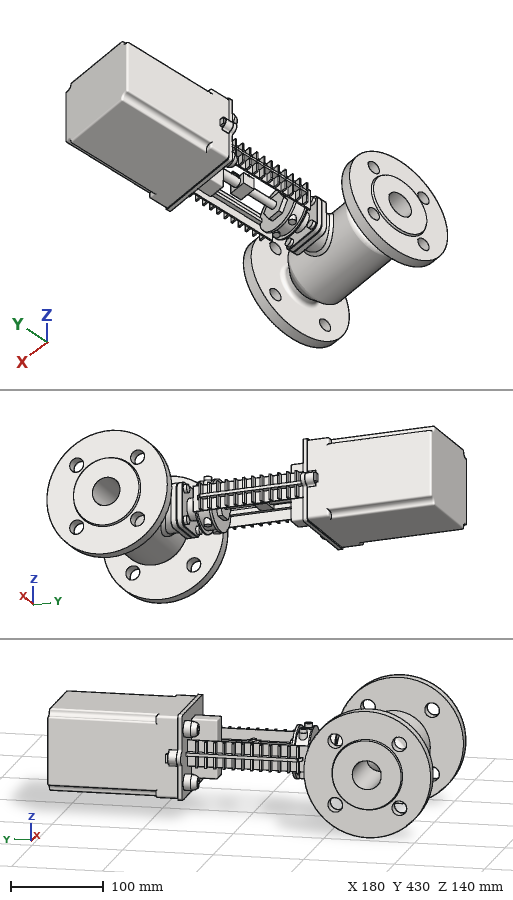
import cadquery as cq
import math


overall_length = 180
flange_diameter = 140
flange_thickness = 13
raised_face_diameter = 78
raised_face_height = 2.5
raised_face_taper = 1
neck_diameter = 48
neck_fillet = 5
shell_diameter = 79
shell_length = 99
cone_length = 14.7
shell_edge_fillet = 5.5
bore_diameter = 32
plug_diameter = 34
flange_hole_diameter = 16
flange_hole_circle = 100
flange_hole_count = 4
first_flange_hole_angle = 45

boss_diameter = 46
boss_weld = 3
cover_flange_side = 51
cover_flange_corner = 8
cover_flange_chamfer = 0.6
valve_flange_bottom = 48.8
flange_joint = 55.9
bonnet_flange_top = 62.4

bolt_offset = 18
bolt_shank_diameter = 5.7
bolt_head_diameter = 9.5
bolt_head_height = 3.8

bonnet_tube_diameter = 25
bonnet_nut_corners = 33
bonnet_nut_thickness = 5.4
stem_diameter = 9.5
spindle_diameter = 11.4

yoke_bottom = 77.5
yoke_ring_top = 96.8
yoke_ring_diameter = 58.6
yoke_waist_diameter = 50
yoke_top_rim = 2.8
yoke_bottom_rim = 1.5
leg_outer_x = 32
leg_web_thickness = 1.6
leg_width = 29
leg_inner_rib_depth = 5
leg_inner_rib_thickness = 5
leg_outer_rib_x = 39.5
leg_outer_rib_thickness = 3.5
leg_outer_rib_bottom = 83.5
leg_rib_chamfer = 5
fin_x = 38.8
fin_thickness = 2
fin_count = 12
fin_pitch = 10.15
first_fin_y = 88
clamp_screw_x = 13.2
clamp_screw_diameter = 8.5
clamp_boss_diameter = 9.5
clamp_boss_top = 25
clamp_screw_bottom = -25.5
clamp_screw_y = (yoke_bottom + yoke_ring_top) / 2
clamp_socket_diameter = 4
clamp_socket_depth = 3

coupling_width = 21.5
coupling_bottom = 139.4
coupling_top = 154.3
coupling_depth = 16
tongue_width = 9
tongue_length = 10
pointer_width = 4
pointer_length = 2.8
pointer_height = 1.5
coupling_screw_x = 6.9
coupling_screw_y = 146.5
coupling_screw_diameter = 6
coupling_screw_height = 2

actuator_x = -5.75
actuator_top = 360
base_bottom = 211
base_thickness = 4.8
base_corner_fillet = 3
base_width = 104
base_depth = 94.5
edge_tolerance = 0.1
case_width = 103
case_depth = 91
case_edge_fillet = 3
case_top_fillet = 2.2
groove_bottom = 240.5
groove_width = 8.4
groove_depth = 7.4
groove_radius = 5.2
groove_lip_fillet = 2
ear_radius = 7.5
ear_step = 0.7
ear_flare = 2.5
ear_root_depth = 3
ear_top = 225.6
ear_cap_width = 9.5
ear_cap_height = 2.5
ear_cap_inset = 1.8
guide_width = 21.5
guide_depth = 65.5
guide_length = 28.6
guide_fillet = 1.7
gland_x = -43.5
gland_z = 29.5
gland_diameter = 18
gland_tip_diameter = 11.4
gland_straight = 8
gland_step = 1.5
gland_step_inset = 0.7
gland_dome_radius = 7
gland_length = 14.6
gland_hole_diameter = 6
gland_hole_depth = 8


def cylinder_y(diameter, y_start, y_end, x=0, z=0):
    """Solid cylinder along Y between two heights."""
    plane = cq.Workplane("XZ", origin=(x, y_start, z))
    return plane.circle(diameter / 2).extrude(y_start - y_end)


def cylinder_z(diameter, z_start, z_end, x, y):
    """Solid cylinder along Z between two heights."""
    plane = cq.Workplane("XY", origin=(x, y, z_start))
    return plane.circle(diameter / 2).extrude(z_end - z_start)


def block(x_range, y_range, z_range):
    """Box given by its limits along X, Y and Z."""
    sizes = [limits[1] - limits[0] for limits in (x_range, y_range, z_range)]
    corner = (x_range[0], y_range[0], z_range[0])
    return cq.Workplane("XY", origin=corner).box(*sizes, centered=False)


def cover_flange(y_start, y_end):
    """Square plate with rounded corners that carries the bonnet bolts."""
    half_side = cover_flange_side / 2
    limits = (-half_side, half_side)
    plate = block(limits, (y_start, y_end), limits)
    plate = plate.edges("|Y").fillet(cover_flange_corner)
    return plate.faces("<Y or >Y").chamfer(cover_flange_chamfer)


def bolt_places():
    """X and Z of the four bonnet bolts."""
    return [(x * bolt_offset, z * bolt_offset) for x in (-1, 1) for z in (-1, 1)]


def drill_for_bolts(body):
    """Cut the four bolt holes through a bonnet joint flange."""
    for x, z in bolt_places():
        body = body.cut(cylinder_y(bolt_shank_diameter, valve_flange_bottom, bonnet_flange_top, x, z))
    return body


def make_valve_body():
    """Flanged pipe body with a top boss; a crosswise plug closes the bore."""
    half_length = overall_length / 2
    flange_outer = half_length - raised_face_height
    flange_inner = flange_outer - flange_thickness
    shell_end = shell_length / 2
    cone_end = shell_end + cone_length

    profile = cq.Workplane("XY").moveTo(-half_length, 0)
    profile = profile.lineTo(-half_length, raised_face_diameter / 2 - raised_face_taper)
    profile = profile.lineTo(-flange_outer, raised_face_diameter / 2)
    profile = profile.lineTo(-flange_outer, flange_diameter / 2)
    profile = profile.lineTo(-flange_inner, flange_diameter / 2)
    profile = profile.lineTo(-flange_inner, neck_diameter / 2 + neck_fillet)
    profile = profile.radiusArc((neck_fillet - flange_inner, neck_diameter / 2), -neck_fillet)
    profile = profile.lineTo(-cone_end, neck_diameter / 2)
    profile = profile.lineTo(-shell_end, shell_diameter / 2)
    profile = profile.lineTo(0, shell_diameter / 2).lineTo(0, 0).close()
    half_body = profile.revolve(360, (0, 0, 0), (1, 0, 0))
    half_body = half_body.edges(cq.selectors.NearestToPointSelector((-shell_end, 0, 0)))
    half_body = half_body.fillet(shell_edge_fillet)
    body = half_body.union(half_body.mirror("YZ"))

    boss = cylinder_y(boss_diameter, 0, valve_flange_bottom)
    body = body.union(boss)
    saddle = cq.selectors.BoxSelector(
        (-boss_diameter / 2 - 1, 1, -boss_diameter / 2 - 1),
        (boss_diameter / 2 + 1, shell_diameter / 2 + 1, boss_diameter / 2 + 1),
    )
    body = body.edges(saddle).chamfer(boss_weld)
    body = drill_for_bolts(body.union(cover_flange(valve_flange_bottom, flange_joint)))

    bore = cq.Workplane("YZ", origin=(-half_length, 0, 0)).circle(bore_diameter / 2).extrude(overall_length)
    plug = cylinder_y(plug_diameter, -bore_diameter, bore_diameter)
    flange_holes = (
        cq.Workplane("YZ", origin=(-half_length, 0, 0))
        .polarArray(flange_hole_circle / 2, first_flange_hole_angle, 360, flange_hole_count)
        .circle(flange_hole_diameter / 2)
        .extrude(overall_length)
    )
    return body.cut(bore.cut(plug)).cut(flange_holes)


def make_bonnet():
    """Bolted flange with a tube through the yoke and a hexagon nut on top."""
    nut_top = yoke_ring_top + bonnet_nut_thickness
    body = cover_flange(flange_joint, bonnet_flange_top)
    body = body.union(cylinder_y(bonnet_tube_diameter, flange_joint, nut_top))
    nut = cq.Workplane("XZ", origin=(0, yoke_ring_top, 0)).polygon(6, bonnet_nut_corners)
    nut = nut.extrude(-bonnet_nut_thickness)
    body = drill_for_bolts(body.union(nut))
    return body.cut(cylinder_y(stem_diameter, flange_joint, nut_top))


def make_bolt(x, z):
    """Bonnet bolt with a round head on the bonnet flange."""
    shank = cylinder_y(bolt_shank_diameter, valve_flange_bottom, bonnet_flange_top, x, z)
    head = cylinder_y(bolt_head_diameter, bonnet_flange_top, bonnet_flange_top + bolt_head_height, x, z)
    return shank.union(head)


def make_stem():
    """Plain rod from the bonnet into the coupling."""
    return cylinder_y(stem_diameter, flange_joint, coupling_screw_y)


def make_coupling():
    """Block on the stem end, with a tongue that lies over the spindle."""
    half_depth = coupling_depth / 2
    body = block(
        (-coupling_width / 2, coupling_width / 2),
        (coupling_bottom, coupling_top),
        (-half_depth, half_depth),
    )
    tongue = block(
        (-tongue_width / 2, tongue_width / 2),
        (coupling_top, coupling_top + tongue_length),
        (spindle_diameter / 2, half_depth),
    )
    pointer_y = coupling_top + tongue_length / 2
    pointer = block(
        (-pointer_width / 2, pointer_width / 2),
        (pointer_y - pointer_length / 2, pointer_y + pointer_length / 2),
        (half_depth, half_depth + pointer_height),
    )
    body = body.union(tongue).union(pointer)
    for side in (-1, 1):
        head = cylinder_z(
            coupling_screw_diameter,
            half_depth,
            half_depth + coupling_screw_height,
            side * coupling_screw_x,
            coupling_screw_y,
        )
        body = body.union(head)
    return body.cut(make_stem())


def make_yoke_leg():
    """Leg on the +X side: a web with a rib inside and a finned rib outside."""
    half_width = leg_width / 2
    web_inner_x = leg_outer_x - leg_web_thickness
    leg = block((web_inner_x, leg_outer_x), (yoke_bottom, base_bottom), (-half_width, half_width))
    inner_rib = block(
        (web_inner_x - leg_inner_rib_depth, web_inner_x),
        (yoke_bottom, base_bottom),
        (-leg_inner_rib_thickness / 2, leg_inner_rib_thickness / 2),
    )
    outer_rib = block(
        (leg_outer_x, leg_outer_rib_x),
        (leg_outer_rib_bottom, base_bottom),
        (-leg_outer_rib_thickness / 2, leg_outer_rib_thickness / 2),
    )
    outer_rib = outer_rib.faces(">X").edges("<Y").chamfer(leg_rib_chamfer)
    leg = leg.union(inner_rib).union(outer_rib)
    for index in range(fin_count):
        fin_y = first_fin_y + index * fin_pitch
        fin = block(
            (leg_outer_x, fin_x),
            (fin_y - fin_thickness / 2, fin_y + fin_thickness / 2),
            (-half_width, half_width),
        )
        leg = leg.union(fin)
    return leg


def make_yoke():
    """Spool-shaped clamp ring with two clamp screws, carrying the two legs."""
    leg = make_yoke_leg()
    body = cylinder_y(yoke_waist_diameter, yoke_bottom, yoke_ring_top)
    body = body.union(cylinder_y(yoke_ring_diameter, yoke_bottom, yoke_bottom + yoke_bottom_rim))
    body = body.union(cylinder_y(yoke_ring_diameter, yoke_ring_top - yoke_top_rim, yoke_ring_top))
    body = body.union(leg).union(leg.mirror("YZ"))
    screw_end = yoke_ring_diameter / 2
    for side in (-1, 1):
        screw_x = side * clamp_screw_x
        body = body.union(
            cylinder_z(clamp_screw_diameter, clamp_screw_bottom, screw_end, screw_x, clamp_screw_y)
        )
        body = body.union(cylinder_z(clamp_boss_diameter, 0, clamp_boss_top, screw_x, clamp_screw_y))
        socket = cylinder_z(
            clamp_socket_diameter, screw_end - clamp_socket_depth, screw_end, screw_x, clamp_screw_y
        )
        body = body.cut(socket)
    return body.cut(cylinder_y(bonnet_tube_diameter, yoke_bottom, yoke_ring_top))


def make_corner_groove():
    """Hollow-cornered notch running along the +X +Z edge of the actuator case."""
    corner_x = case_width / 2
    corner_z = case_depth / 2
    inner_x = corner_x - groove_width
    floor_z = corner_z - groove_depth
    profile = cq.Workplane("XZ", origin=(actuator_x, groove_bottom, 0)).moveTo(corner_x, floor_z)
    profile = profile.lineTo(inner_x + groove_radius, floor_z)
    profile = profile.radiusArc((inner_x, floor_z + groove_radius), groove_radius)
    profile = profile.lineTo(inner_x, corner_z)
    profile = profile.lineTo(corner_x, corner_z).close()
    return profile.extrude(groove_bottom - actuator_top)


def is_groove_lip(edge):
    """True for an edge where a corner groove breaks through a side of the case."""
    middle = edge.Center()
    on_side_x = abs(abs(middle.x - actuator_x) - case_width / 2) < edge_tolerance
    on_side_z = abs(abs(middle.z) - case_depth / 2) < edge_tolerance
    along_groove = groove_bottom - edge_tolerance < middle.y < actuator_top - edge_tolerance
    return along_groove and (on_side_x or on_side_z)


def make_case():
    """Motor case with a hollow along each long edge that stops short of the base."""
    case_bottom = base_bottom + base_thickness
    center = (actuator_x, 0, 0)
    case = cq.Workplane("XZ", origin=(actuator_x, case_bottom, 0)).rect(case_width, case_depth)
    case = case.extrude(case_bottom - actuator_top)
    groove = make_corner_groove()
    for one_groove in (groove, groove.mirror("YZ", center)):
        case = case.cut(one_groove).cut(one_groove.mirror("XY"))

    below_grooves = cq.selectors.BoxSelector(
        (actuator_x - case_width, case_bottom + edge_tolerance, -case_depth),
        (actuator_x + case_width, groove_bottom - edge_tolerance, case_depth),
    )
    case = case.edges(below_grooves).fillet(case_edge_fillet)
    lips = [edge for edge in case.edges().vals() if is_groove_lip(edge)]
    case = case.newObject(lips).fillet(groove_lip_fillet)
    return case.faces(">Y").edges().fillet(case_top_fillet)


def make_ear_layer(radius, top):
    """Round lug on the +X edge of the base plate that flares into the plate."""
    center_distance = radius + ear_flare
    flare_z = math.sqrt(center_distance**2 - ear_flare**2)
    tangent_x = ear_flare * radius / center_distance
    tangent_z = flare_z * radius / center_distance
    edge_x = actuator_x + base_width / 2

    profile = cq.Workplane("XZ", origin=(edge_x, base_bottom, 0)).moveTo(-ear_root_depth, -flare_z)
    profile = profile.lineTo(0, -flare_z)
    profile = profile.radiusArc((tangent_x, -tangent_z), ear_flare)
    profile = profile.threePointArc((radius, 0), (tangent_x, tangent_z))
    profile = profile.radiusArc((0, flare_z), ear_flare)
    profile = profile.lineTo(-ear_root_depth, flare_z).close()
    return profile.extrude(base_bottom - top)


def make_ear():
    """Stepped lug on the +X side with a raised bar on top."""
    edge_x = actuator_x + base_width / 2
    upper_radius = ear_radius - ear_step
    bar = block(
        (edge_x - ear_root_depth, edge_x + upper_radius - ear_cap_inset),
        (ear_top, ear_top + ear_cap_height),
        (-ear_cap_width / 2, ear_cap_width / 2),
    )
    ear = make_ear_layer(ear_radius, base_bottom + base_thickness)
    return ear.union(make_ear_layer(upper_radius, ear_top)).union(bar)


def make_gland(z):
    """Cable gland under the base, with a step and a drilled, domed tip."""
    y_step = gland_straight + gland_step
    radius = gland_diameter / 2
    profile = cq.Workplane("XY").moveTo(0, 0).lineTo(radius, 0)
    profile = profile.lineTo(radius, -gland_straight)
    profile = profile.lineTo(radius - gland_step_inset, -y_step)
    profile = profile.radiusArc((gland_tip_diameter / 2, -gland_length), gland_dome_radius)
    profile = profile.lineTo(0, -gland_length).close()
    gland = profile.revolve(360, (0, 0, 0), (0, 1, 0))
    gland = gland.cut(cylinder_y(gland_hole_diameter, -gland_length, gland_hole_depth - gland_length))
    return gland.translate((gland_x, base_bottom, z))


def make_actuator():
    """Motor case on a base plate with ears, guide block, spindle and cable glands."""
    base_top = base_bottom + base_thickness
    center = (actuator_x, 0, 0)
    base = cq.Workplane("XZ", origin=(actuator_x, base_top, 0)).rect(base_width, base_depth)
    body = base.extrude(base_thickness).edges("|Y").fillet(base_corner_fillet).union(make_case())
    ear = make_ear()
    body = body.union(ear).union(ear.mirror("YZ", center))

    guide_bottom = base_bottom - guide_length
    guide = block(
        (-guide_width / 2, guide_width / 2),
        (guide_bottom, base_bottom),
        (-guide_depth / 2, guide_depth / 2),
    )
    body = body.union(guide.edges("|Y or <Y").fillet(guide_fillet))
    body = body.union(cylinder_y(spindle_diameter, coupling_top, guide_bottom))
    for side in (-1, 1):
        body = body.union(make_gland(side * gland_z))
    return body


valve_body = make_valve_body()
bonnet = make_bonnet()
bolts = [make_bolt(x, z) for x, z in bolt_places()]
stem = make_stem()
coupling = make_coupling()
yoke = make_yoke()
actuator = make_actuator()

result = cq.Compound.makeCompound(
    [
        valve_body.val(),
        bonnet.val(),
        *[bolt.val() for bolt in bolts],
        stem.val(),
        coupling.val(),
        yoke.val(),
        actuator.val(),
    ]
)